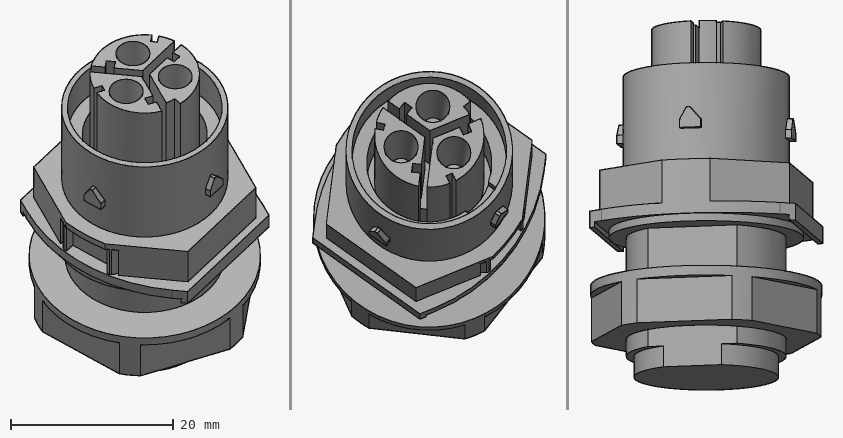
import cadquery as cq
import math

NUT_BOTTOM_Z = 4.75
NUT_RIM_Z = 10.2
NUT_TOP_Z = 11.43
THREAD_BOTTOM_Z = 2.6
GASKET_BOTTOM_Z = 17.42
LIP_BOTTOM_Z = 17.73
FLANGE_BOTTOM_Z = 18.4
FLANGE_TOP_Z = 19.8
HEX_TOP_Z = 25.15
LEDGE_Z = 32.75
SHROUD_TOP_Z = 37.55
INSERT_TOP_Z = 43.45

STEM_END_RADIUS = 8.9
THREAD_RADIUS = 9.85
STEM_FLAT_Y = 8.13

NUT_RIM_RADIUS = 14.25
NUT_APOTHEM = 12.95

GASKET_RADIUS = 12.0
FLANGE_HALF_WIDTH = 12.95
FLANGE_CORNER_Y = 8.25
FLANGE_CROWN_Y = 12.25
SHOULDER_SLOPE = math.radians(30)
LIP_THICKNESS = 0.7
HEX_APOTHEM = 11.95
FLAT_TO_X_TURN = 30.0

RECESS_HEIGHT = 4.4
RECESS_HALF_WIDTH = 3.15
RECESS_FLOOR_Y = -10.5
RIB_OUTER_X = 3.65
RIB_TIP_Y = -11.77
RELIEF_OUTER_X = 4.48
RELIEF_FLOOR_Y = -10.65
RECESS_CLEAR_Y = -13.05

SHROUD_RADIUS = 10.25
SHROUD_BORE_RADIUS = 9.5
WELL_RADIUS = 7.7
WELL_FLOOR_Z = HEX_TOP_Z
KEYWAY_WIDTH = 4.7
KEYWAY_DEPTH = 1.3

LUG_COUNT = 4
LUG_BOTTOM_Z = 29.37
LUG_SHOULDER_Z = 30.4
LUG_TOP_Z = 31.95
LUG_LEFT_X = -1.05
LUG_RIGHT_X = 1.55
LUG_PEAK_LEFT_X = -0.17
LUG_PEAK_RIGHT_X = 0.2
LUG_REACH = 10.95

INSERT_RADIUS = 6.75
SECTOR_COUNT = 3
SECTOR_ANGLE = 360.0 / SECTOR_COUNT
FIRST_SLOT_ANGLE = 90.0
SLOT_WIDTH = 1.05
SLOT_FLOOR_Z = 30.4
SLOT_STEP_TOP_RADIUS = 5.25
SLOT_STEP_FOOT_RADIUS = 5.47
SIDE_NOTCH_START = 3.85
SIDE_NOTCH_LENGTH = 1.15
SIDE_NOTCH_DEPTH = 1.1
SOCKET_PITCH_RADIUS = 3.8
SOCKET_MOUTH_RADIUS = 2.1
SOCKET_END_RADIUS = 1.4
SOCKET_DEPTH = 8.7
RIM_NOTCH_ANGLES = (116.0, 242.5)
RIM_NOTCH_WIDTH = 0.83
RIM_NOTCH_FLOOR_RADIUS = 5.65
RIM_CLEAR_RADIUS = 2 * INSERT_RADIUS
CORNER_NOTCH_START_ANGLE = 330.0
CORNER_NOTCH_END_ANGLE = 348.0


def cylinder(radius, bottom, top):
    """Solid cylinder on the Z axis between two heights."""
    return cq.Workplane("XY").workplane(offset=bottom).circle(radius).extrude(top - bottom)


def hexagon(apothem, bottom, top):
    """Hexagonal prism on the Z axis with corners on the X axis."""
    corner_diameter = 2 * apothem / math.cos(math.pi / 6)
    return cq.Workplane("XY").workplane(offset=bottom).polygon(6, corner_diameter).extrude(top - bottom)


def bar(x_start, x_end, y_start, y_end, bottom, top):
    """Rectangular block given by its limits."""
    size = (x_end - x_start, y_end - y_start, top - bottom)
    return cq.Workplane("XY").box(*size, centered=False).translate((x_start, y_start, bottom))


def turned(shape, angle):
    """Shape rotated about the Z axis."""
    return shape.rotate((0, 0, 0), (0, 0, 1), angle)


def make_nut():
    """Hex nut whose corners are rounded to its rim, bored to the thread diameter."""
    rim = cylinder(NUT_RIM_RADIUS, NUT_RIM_Z, NUT_TOP_Z)
    blank = cylinder(NUT_RIM_RADIUS, NUT_BOTTOM_Z, NUT_RIM_Z)
    grip = hexagon(NUT_APOTHEM, NUT_BOTTOM_Z, NUT_RIM_Z).intersect(blank)
    return rim.union(grip).cut(cylinder(THREAD_RADIUS, NUT_BOTTOM_Z, NUT_TOP_Z))


def make_stem():
    """Shank below the flange, flattened on the +Y side."""
    stem = cylinder(STEM_END_RADIUS, 0, THREAD_BOTTOM_Z)
    stem = stem.union(cylinder(THREAD_RADIUS, THREAD_BOTTOM_Z, GASKET_BOTTOM_Z))
    flat_cut = bar(-THREAD_RADIUS, THREAD_RADIUS, STEM_FLAT_Y, THREAD_RADIUS, 0, GASKET_BOTTOM_Z)
    return stem.cut(flat_cut)


def flange_prism(bottom, top):
    """Flange outline: straight X sides, 30 degree shoulders and tangent arcs over the Y ends."""
    sin_slope = math.sin(SHOULDER_SLOPE)
    cos_slope = math.cos(SHOULDER_SLOPE)
    shoulder_distance = FLANGE_HALF_WIDTH * sin_slope + FLANGE_CORNER_Y * cos_slope
    arc_centre_y = (FLANGE_CROWN_Y - shoulder_distance) / (1 - cos_slope)
    arc_radius = FLANGE_CROWN_Y - arc_centre_y
    arc_end_x = arc_radius * sin_slope
    arc_end_y = arc_centre_y + arc_radius * cos_slope
    outline = (
        cq.Workplane("XY").workplane(offset=bottom)
        .moveTo(FLANGE_HALF_WIDTH, -FLANGE_CORNER_Y)
        .lineTo(FLANGE_HALF_WIDTH, FLANGE_CORNER_Y)
        .lineTo(arc_end_x, arc_end_y)
        .threePointArc((0, FLANGE_CROWN_Y), (-arc_end_x, arc_end_y))
        .lineTo(-FLANGE_HALF_WIDTH, FLANGE_CORNER_Y)
        .lineTo(-FLANGE_HALF_WIDTH, -FLANGE_CORNER_Y)
        .lineTo(-arc_end_x, -arc_end_y)
        .threePointArc((0, -FLANGE_CROWN_Y), (arc_end_x, -arc_end_y))
        .close()
    )
    return outline.extrude(top - bottom)


def make_flange():
    """Flange with a lip hanging down along both X sides, over the round gasket seat."""
    lip_inner_x = FLANGE_HALF_WIDTH - LIP_THICKNESS
    between_lips = bar(
        -lip_inner_x, lip_inner_x, -FLANGE_CROWN_Y, FLANGE_CROWN_Y, LIP_BOTTOM_Z, FLANGE_BOTTOM_Z
    )
    flange = flange_prism(LIP_BOTTOM_Z, FLANGE_TOP_Z).cut(between_lips)
    return flange.union(cylinder(GASKET_RADIUS, GASKET_BOTTOM_Z, FLANGE_BOTTOM_Z))


def make_body_hexagon():
    """Hexagon with its Y corners trimmed to the flange arcs and a ribbed recess at -Y."""
    body = turned(hexagon(HEX_APOTHEM, FLANGE_TOP_Z, HEX_TOP_Z), FLAT_TO_X_TURN)
    body = body.intersect(flange_prism(FLANGE_TOP_Z, HEX_TOP_Z))
    half_outline = [
        (RECESS_HALF_WIDTH, RECESS_FLOOR_Y),
        (RECESS_HALF_WIDTH, RIB_TIP_Y),
        (RIB_OUTER_X, RIB_TIP_Y),
        (RELIEF_OUTER_X, RELIEF_FLOOR_Y),
        (RELIEF_OUTER_X, RECESS_CLEAR_Y),
    ]
    mirrored_half = [(-x, y) for x, y in reversed(half_outline)]
    recess = (
        cq.Workplane("XY").workplane(offset=FLANGE_TOP_Z)
        .polyline(half_outline + mirrored_half).close()
        .extrude(RECESS_HEIGHT)
    )
    return body.cut(recess)


def make_lug():
    """Pointed locking lug on the -Y side of the shroud."""
    profile = [
        (LUG_LEFT_X, LUG_BOTTOM_Z),
        (LUG_RIGHT_X, LUG_BOTTOM_Z),
        (LUG_RIGHT_X, LUG_SHOULDER_Z),
        (LUG_PEAK_RIGHT_X, LUG_TOP_Z),
        (LUG_PEAK_LEFT_X, LUG_TOP_Z),
        (LUG_LEFT_X, LUG_SHOULDER_Z),
    ]
    root_radius = (SHROUD_RADIUS + SHROUD_BORE_RADIUS) / 2
    lug = cq.Workplane("XZ").workplane(offset=root_radius).polyline(profile).close()
    return lug.extrude(LUG_REACH - root_radius)


def make_shroud():
    """Open sleeve with an inner ledge, a central well, a keyway and locking lugs."""
    shroud = cylinder(SHROUD_RADIUS, HEX_TOP_Z, SHROUD_TOP_Z)
    for index in range(LUG_COUNT):
        shroud = shroud.union(turned(make_lug(), index * 360.0 / LUG_COUNT))
    bore = cylinder(SHROUD_BORE_RADIUS, LEDGE_Z, SHROUD_TOP_Z)
    well = cylinder(WELL_RADIUS, WELL_FLOOR_Z, LEDGE_Z)
    keyway_floor_z = LEDGE_Z - KEYWAY_DEPTH
    keyway = bar(
        -KEYWAY_WIDTH / 2, KEYWAY_WIDTH / 2, -SHROUD_BORE_RADIUS, 0, keyway_floor_z, LEDGE_Z
    ).intersect(cylinder(SHROUD_BORE_RADIUS, keyway_floor_z, LEDGE_Z))
    return shroud.cut(bore).cut(well).cut(keyway)


def make_slot():
    """Radial slot along +X, dropping over a sloped step near its outer end, notched in its right wall."""
    half_width = SLOT_WIDTH / 2
    profile = [
        (0, INSERT_TOP_Z),
        (INSERT_RADIUS, INSERT_TOP_Z),
        (INSERT_RADIUS, WELL_FLOOR_Z),
        (SLOT_STEP_FOOT_RADIUS, WELL_FLOOR_Z),
        (SLOT_STEP_TOP_RADIUS, SLOT_FLOOR_Z),
        (0, SLOT_FLOOR_Z),
    ]
    slot = cq.Workplane("XZ").polyline(profile).close().extrude(half_width, both=True)
    side_notch = bar(
        SIDE_NOTCH_START, SIDE_NOTCH_START + SIDE_NOTCH_LENGTH,
        -half_width - SIDE_NOTCH_DEPTH, 0, SLOT_FLOOR_Z, INSERT_TOP_Z,
    )
    return slot.union(side_notch)


def make_socket():
    """Tapered contact hole, narrowing downwards, on the +X side."""
    socket = cq.Solid.makeCone(
        SOCKET_END_RADIUS, SOCKET_MOUTH_RADIUS, SOCKET_DEPTH,
        pnt=cq.Vector(SOCKET_PITCH_RADIUS, 0, INSERT_TOP_Z - SOCKET_DEPTH),
    )
    return cq.Workplane(socket)


def make_corner_notch():
    """Polarising notch that removes the rim between one slot and a radial wall."""
    corners = [(0, 0)]
    for angle in (CORNER_NOTCH_START_ANGLE, CORNER_NOTCH_END_ANGLE):
        direction = math.radians(angle)
        corners.append((RIM_CLEAR_RADIUS * math.cos(direction), RIM_CLEAR_RADIUS * math.sin(direction)))
    wedge = cq.Workplane("XY").workplane(offset=WELL_FLOOR_Z).polyline(corners).close()
    wedge = wedge.extrude(INSERT_TOP_Z - WELL_FLOOR_Z)
    return wedge.cut(cylinder(RIM_NOTCH_FLOOR_RADIUS, WELL_FLOOR_Z, INSERT_TOP_Z))


def make_insert():
    """Contact carrier: three sectors parted by slots, each with one socket and a rim notch."""
    insert = cylinder(INSERT_RADIUS, WELL_FLOOR_Z, INSERT_TOP_Z)
    for index in range(SECTOR_COUNT):
        slot_angle = FIRST_SLOT_ANGLE + index * SECTOR_ANGLE
        insert = insert.cut(turned(make_slot(), slot_angle))
        insert = insert.cut(turned(make_socket(), slot_angle + SECTOR_ANGLE / 2))
    rim_notch = bar(
        RIM_NOTCH_FLOOR_RADIUS, RIM_CLEAR_RADIUS, -RIM_NOTCH_WIDTH / 2, RIM_NOTCH_WIDTH / 2,
        WELL_FLOOR_Z, INSERT_TOP_Z,
    )
    for angle in RIM_NOTCH_ANGLES:
        insert = insert.cut(turned(rim_notch, angle))
    return insert.cut(make_corner_notch())


def make_housing():
    """Stem, flange, hexagon, shroud and contact insert as one solid."""
    housing = make_stem()
    for section in (make_flange(), make_body_hexagon(), make_shroud(), make_insert()):
        housing = housing.union(section)
    return housing


housing = make_housing()
nut = make_nut()
result = cq.Compound.makeCompound([housing.solids().val(), nut.solids().val()])